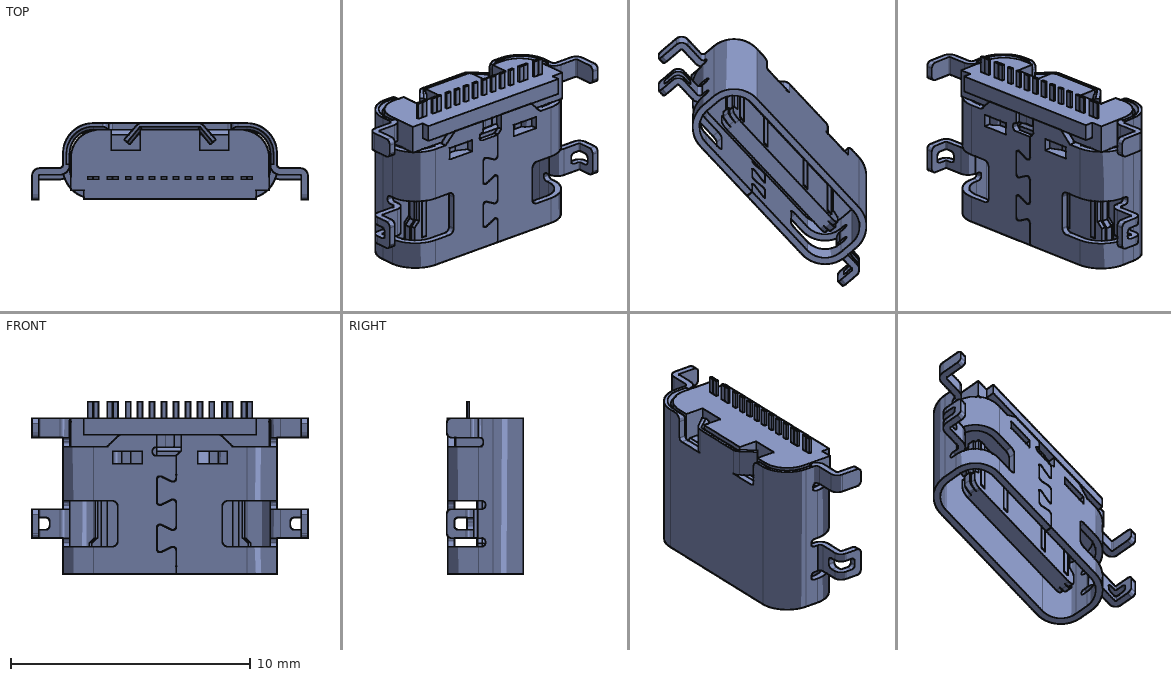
import cadquery as cq

SHELL_WIDTH = 8.95
SHELL_DEPTH = 3.16
SHELL_HEIGHT = 6.51
SHELL_RADIUS = 1.28
SHEET = 0.29
RIM_CHAMFER = 0.14
HALF_WIDTH = SHELL_WIDTH / 2
BACK = SHELL_DEPTH / 2
FRONT = -BACK
INNER_HALF_WIDTH = HALF_WIDTH - SHEET
INNER_BACK = BACK - SHEET
INNER_FRONT = FRONT + SHEET

FRONT_TOP = 5.32
TAB_TOP = 5.83
TAB_BASE_HALF = 2.63
TAB_TIP_HALF = 2.1

LEG_REACH = 5.77
LEG_TIP_Y = -1.63
LEG_TIP_RADIUS = 0.21
WALL_BEND = 0.14
FOOT_BEND = 0.05
LEG_OVERLAP = 0.02
UPPER_LEG_Y = -0.3
UPPER_LEG_BOTTOM = 5.7
LOWER_LEG_Y = -0.5
LOWER_LEG_BOTTOM = 1.5
LOWER_LEG_TOP = 2.71
LEG_HOLE_WIDTH = 0.51
LEG_HOLE_X = 5.03
LEG_HOLE_Y = -1.3
LEG_HOLE_RADIUS = 0.17

WINDOW_BOTTOM = 1.14
WINDOW_TOP = 3.06
WINDOW_EDGE_X = 2.18
WINDOW_RADIUS = 0.24
UPPER_RELIEF_END = -0.09
LOWER_RELIEF_END = 0.0
RELIEF_END_RADIUS = 0.16

PORT_X = 1.78
PORT_WIDTH = 1.23
PORT_BOTTOM = 4.6
PORT_TOP = 5.12
PORT_BED_X = 1.83
PORT_BED_DEPTH = 0.23
PORT_BED_HALF = 0.18

SEAM_GAP = 0.017
SEAM_RIGHT = 0.25
SEAM_LEFT = -0.55
SEAM_RADIUS = 0.14
SEAM_SLANT = 0.39
SEAM_STEPS = (1.02, 1.96, 2.99, 3.98)
RELIEF_RIGHT = 0.46
RELIEF_LEFT = -0.74
RELIEF_BOTTOM = 4.94
RELIEF_TOP = 5.3
RELIEF_RADIUS = 0.16
LEDGE_FRONT = -1.37
LEDGE_BEVEL_BOTTOM = 5.12
KEY_RAMP_X = -0.21
KEY_RIGHT = 0.18
KEY_FRONT = -1.33
KEY_RAMP_FRONT = -1.4
KEY_RADIUS = 0.07

NOTCH_HALF = 2.55
NOTCH_BOTTOM = 5.32
NOTCH_TOP_RADIUS = 0.29
NOTCH_CORNER_RADIUS = 0.14
STRAP_TOP = 6.43
STRAP_HALF = 1.3
WING_OUTER = (1.92, 0.89)
WING_INNER = (1.68, 0.68)
STRAP_INNER_HALF = 1.18
STRAP_BEND = 0.35

BODY_HALF = 4.14
BODY_RADIUS = 1.15
BODY_BOTTOM = 4.15
BODY_FRONT = -1.23
FLANGE_HALF = 3.6
FLANGE_FRONT = -1.6
POCKET_INNER = 1.23
POCKET_OUTER = 2.46
POCKET_FRONT = 0.44
POCKET_SILL_Y = 1.1
POCKET_SILL_DROP = 0.15

PIN_TOP = 7.2
PIN_Y = -0.73
PIN_THICK = 0.1
PIN_WIDTH = 0.22
SINGLE_PINS = 8
SINGLE_PIN_SPAN = 3.5
PITCH = SINGLE_PIN_SPAN / (SINGLE_PINS - 1)
PAIR_GAP = 0.02
PAIR_CENTRES = (2.4, 3.21)

TONGUE_TIP = 0.33
TONGUE_TIP_RADIUS = 0.35
TONGUE_TIP_HALF = 3.37
TONGUE_NECK_HALF = 3.12
LATCH_EDGE = 1.29
LATCH_SLOPE = 0.24
TONGUE_STEP = 0.1
PLATE_HALF_THICK = 0.14
TONGUE_HALF_THICK = 0.33
CONTACT_RAISE = 0.02
CONTACT_WIDTH = 0.24
CONTACT_BOTTOM = 0.74
CONTACT_STEPS = (-5.5, -2.5, 2.5, 5.5)


def block(x0, x1, y0, y1, z0, z1):
    return cq.Workplane("XY").box(x1 - x0, y1 - y0, z1 - z0, centered=False).translate((x0, y0, z0))


def front_prism(points, y0, y1):
    """Extrude an outline given as (x, z) from y0 to y1."""
    return cq.Workplane("XZ", origin=(0, y1, 0)).polyline(points).close().extrude(y1 - y0)


def round_upright(solid, x, y, z, radius):
    """Round the upright edge nearest to a point."""
    return solid.edges(cq.selectors.NearestToPointSelector((x, y, z))).fillet(radius)


def both_sides(solid):
    """Join a solid with its mirror image across x = 0."""
    return solid.union(solid.mirror("YZ"))


def shell_tube():
    outer = cq.Workplane("XY").rect(SHELL_WIDTH, SHELL_DEPTH).extrude(SHELL_HEIGHT)
    outer = outer.edges("|Z").fillet(SHELL_RADIUS)
    bore = cq.Workplane("XY").rect(2 * INNER_HALF_WIDTH, 2 * INNER_BACK).extrude(SHELL_HEIGHT)
    bore = bore.edges("|Z").fillet(SHELL_RADIUS - SHEET)
    tube = outer.cut(bore)
    inner_rim = tube.faces(">Z").val().innerWires()[0]
    return tube.newObject(inner_rim.Edges()).chamfer(RIM_CHAMFER)


def relief_slots(z0, z1, end, front):
    """Slots through both side walls with a round rear end."""
    slot = block(BODY_HALF, HALF_WIDTH, front, end, z0, z1)
    return both_sides(slot.edges("|X and >Y").fillet(RELIEF_END_RADIUS))


def side_windows():
    """Windows running from the front wall round the corner into each side wall."""
    rear = LOWER_LEG_Y + WALL_BEND
    opening = block(WINDOW_EDGE_X, HALF_WIDTH, FRONT, rear, WINDOW_BOTTOM, WINDOW_TOP)
    return both_sides(opening.edges("|Y and <X").fillet(WINDOW_RADIUS))


def leg(top_y, z0, z1):
    """Right-hand leg: out of the side wall, outward, then forward to the tip."""
    under_y = top_y - SHEET
    inner_x = LEG_REACH - SHEET
    mid_z = (z0 + z1) / 2
    root_y = top_y + WALL_BEND + LEG_OVERLAP
    outline = [
        (HALF_WIDTH, root_y),
        (HALF_WIDTH, top_y),
        (LEG_REACH, top_y),
        (LEG_REACH, LEG_TIP_Y),
        (inner_x, LEG_TIP_Y),
        (inner_x, under_y),
        (INNER_HALF_WIDTH, under_y),
        (INNER_HALF_WIDTH, root_y),
    ]
    strip = cq.Workplane("XY").workplane(offset=z0).polyline(outline).close().extrude(z1 - z0)
    strip = round_upright(strip, HALF_WIDTH, top_y, mid_z, WALL_BEND)
    strip = round_upright(strip, LEG_REACH, top_y, mid_z, FOOT_BEND + SHEET)
    strip = round_upright(strip, inner_x, under_y, mid_z, FOOT_BEND)
    strip = round_upright(strip, INNER_HALF_WIDTH, under_y, mid_z, WALL_BEND + SHEET)
    return strip.faces("<Y").edges("|X").fillet(LEG_TIP_RADIUS)


def leg_hole():
    """Hole running round the bend of a lower leg."""
    mid_z = (LOWER_LEG_BOTTOM + LOWER_LEG_TOP) / 2
    z0 = mid_z - LEG_HOLE_WIDTH / 2
    z1 = mid_z + LEG_HOLE_WIDTH / 2
    hole = block(LEG_HOLE_X, LEG_REACH, LEG_HOLE_Y, LOWER_LEG_Y, z0, z1)
    return hole.edges("(|Y and <X) or (|X and <Y)").fillet(LEG_HOLE_RADIUS)


def seam():
    """Thin gap following the dovetailed joint in the front wall."""
    left_part = [(-HALF_WIDTH, 0), (SEAM_RIGHT, 0)]
    x, next_x = SEAM_RIGHT, SEAM_LEFT
    for z in SEAM_STEPS:
        left_part += [(x, z + SEAM_SLANT / 2), (next_x, z - SEAM_SLANT / 2)]
        x, next_x = next_x, x
    left_part += [(SEAM_RIGHT, SHELL_HEIGHT), (-HALF_WIDTH, SHELL_HEIGHT)]
    side = front_prism(left_part, FRONT, INNER_FRONT)
    corners = cq.selectors.BoxSelector(
        (SEAM_LEFT - 0.12, FRONT - 0.12, 0.12), (SEAM_RIGHT + 0.12, INNER_FRONT + 0.12, RELIEF_BOTTOM))
    side = side.edges("|Y").edges(corners).fillet(SEAM_RADIUS)
    wider = side.faces("<Y").wires().toPending().workplane().offset2D(SEAM_GAP)
    return wider.extrude(-SHEET).cut(side)


def seam_relief():
    notch = block(SEAM_LEFT, RELIEF_RIGHT, FRONT, INNER_FRONT, RELIEF_BOTTOM, TAB_TOP)
    slot = block(RELIEF_LEFT, RELIEF_RIGHT, FRONT, INNER_FRONT, RELIEF_BOTTOM, RELIEF_TOP)
    slot = slot.edges("|Y and <X").fillet(RELIEF_RADIUS)
    corner = RELIEF_RIGHT - SEAM_RIGHT
    relief = notch.union(slot)
    return relief.edges("|Y and >X and <Z").chamfer(corner)


def seam_backing():
    """Bevelled ledge and ramped key of the body that show through the seam relief."""
    profile = [
        (INNER_FRONT, RELIEF_BOTTOM),
        (LEDGE_FRONT, RELIEF_BOTTOM),
        (LEDGE_FRONT, LEDGE_BEVEL_BOTTOM),
        (INNER_FRONT, RELIEF_TOP),
    ]
    ledge = cq.Workplane("YZ", origin=(SEAM_LEFT, 0, 0)).polyline(profile).close()
    ledge = ledge.extrude(RELIEF_RIGHT - SEAM_LEFT)
    key_outline = [
        (SEAM_LEFT, INNER_FRONT),
        (SEAM_LEFT, KEY_RAMP_FRONT),
        (KEY_RAMP_X, KEY_FRONT),
        (KEY_RIGHT, KEY_FRONT),
        (KEY_RIGHT, INNER_FRONT),
    ]
    key = cq.Workplane("XY").workplane(offset=RELIEF_TOP).polyline(key_outline).close()
    key = key.extrude(TAB_TOP - RELIEF_TOP).edges("|Y and >X").fillet(KEY_RADIUS)
    return ledge.union(key)


def back_notch():
    """Notch in the back wall with filleted lower corners and flared upper corners."""
    flare = NOTCH_HALF + NOTCH_TOP_RADIUS
    notch = block(-NOTCH_HALF, NOTCH_HALF, 0, BACK, NOTCH_BOTTOM, SHELL_HEIGHT)
    notch = notch.edges("|Y and <Z").fillet(NOTCH_CORNER_RADIUS)
    flares = block(-flare, flare, 0, BACK, SHELL_HEIGHT - NOTCH_TOP_RADIUS, SHELL_HEIGHT)
    for side in (-1, 1):
        rounding = cq.Workplane("XZ").center(side * flare, SHELL_HEIGHT - NOTCH_TOP_RADIUS)
        flares = flares.cut(rounding.circle(NOTCH_TOP_RADIUS).extrude(-BACK))
    return notch.union(flares)


def strap():
    """Centre of the back wall above the notch, its ends bent inward as wings."""
    right = [(STRAP_HALF, BACK), WING_OUTER, WING_INNER, (STRAP_INNER_HALF, INNER_BACK)]
    left = [(-x, y) for x, y in reversed(right)]
    height = STRAP_TOP - NOTCH_BOTTOM
    outline = cq.Workplane("XY").workplane(offset=NOTCH_BOTTOM).polyline(right + left).close()
    bar = outline.extrude(height)
    for side in (-1, 1):
        bar = round_upright(bar, side * STRAP_HALF, BACK, NOTCH_BOTTOM + height / 2, STRAP_BEND)
    wing_x = (WING_INNER[0] + STRAP_INNER_HALF) / 2
    wing_y = (WING_INNER[1] + INNER_BACK) / 2
    inner_edges = [(-wing_x, wing_y), (0, INNER_BACK), (wing_x, wing_y)]
    rim = bar.newObject([])
    for x, y in inner_edges:
        rim = rim.add(bar.edges(cq.selectors.NearestToPointSelector((x, y, STRAP_TOP))))
    return rim.chamfer(RIM_CHAMFER)


def shell():
    tab = front_prism(
        [
            (-TAB_BASE_HALF, FRONT_TOP),
            (-TAB_TIP_HALF, TAB_TOP),
            (TAB_TIP_HALF, TAB_TOP),
            (TAB_BASE_HALF, FRONT_TOP),
        ], FRONT, INNER_FRONT)
    ports = both_sides(block(PORT_X - PORT_WIDTH / 2, PORT_X + PORT_WIDTH / 2,
                             FRONT, INNER_FRONT, PORT_BOTTOM, PORT_TOP))
    sheet = shell_tube()
    sheet = sheet.cut(block(-HALF_WIDTH, HALF_WIDTH, FRONT, UPPER_LEG_Y, FRONT_TOP, SHELL_HEIGHT))
    sheet = sheet.cut(back_notch())
    sheet = sheet.cut(relief_slots(FRONT_TOP, UPPER_LEG_BOTTOM, UPPER_RELIEF_END, UPPER_LEG_Y))
    sheet = sheet.cut(relief_slots(LOWER_LEG_TOP, WINDOW_TOP, LOWER_RELIEF_END, LOWER_LEG_Y))
    sheet = sheet.cut(relief_slots(WINDOW_BOTTOM, LOWER_LEG_BOTTOM, LOWER_RELIEF_END, LOWER_LEG_Y))
    sheet = sheet.cut(side_windows()).union(tab).union(strap())
    sheet = sheet.cut(ports).cut(seam_relief()).cut(seam())
    upper_leg = leg(UPPER_LEG_Y, UPPER_LEG_BOTTOM, SHELL_HEIGHT)
    lower_leg = leg(LOWER_LEG_Y, LOWER_LEG_BOTTOM, LOWER_LEG_TOP).cut(leg_hole())
    return sheet.union(both_sides(upper_leg)).union(both_sides(lower_leg))


def port_bed():
    """Channel in the body behind a small front window: a ramp, a flat bed and a rounded lip."""
    inner_x = PORT_X - PORT_WIDTH / 2
    outer_x = PORT_X + PORT_WIDTH / 2
    bed_y = INNER_FRONT + PORT_BED_DEPTH
    lip_width = outer_x - PORT_BED_X - PORT_BED_HALF
    lip_radius = (lip_width**2 + PORT_BED_DEPTH**2) / (2 * PORT_BED_DEPTH)
    outline = (
        cq.Workplane("XY").workplane(offset=PORT_BOTTOM)
        .moveTo(inner_x, INNER_FRONT)
        .lineTo(PORT_BED_X - PORT_BED_HALF, bed_y)
        .lineTo(PORT_BED_X + PORT_BED_HALF, bed_y)
        .radiusArc((outer_x, INNER_FRONT), -lip_radius)
        .close()
    )
    return outline.extrude(PORT_TOP - PORT_BOTTOM)


def pocket():
    """Wing pocket, open at the top and back, with a bevelled sill."""
    profile = [
        (POCKET_FRONT, NOTCH_BOTTOM),
        (POCKET_SILL_Y, NOTCH_BOTTOM),
        (INNER_BACK, NOTCH_BOTTOM - POCKET_SILL_DROP),
        (INNER_BACK, SHELL_HEIGHT),
        (POCKET_FRONT, SHELL_HEIGHT),
    ]
    outline = cq.Workplane("YZ", origin=(POCKET_INNER, 0, 0)).polyline(profile).close()
    return outline.extrude(POCKET_OUTER - POCKET_INNER)


def body():
    core = block(-BODY_HALF, BODY_HALF, BODY_FRONT, INNER_BACK, BODY_BOTTOM, SHELL_HEIGHT)
    core = core.edges("|Z and >Y").fillet(BODY_RADIUS)
    lower = block(-BODY_HALF, BODY_HALF, INNER_FRONT, INNER_BACK, BODY_BOTTOM, FRONT_TOP)
    lower = lower.edges("|Z").fillet(BODY_RADIUS)
    upper = core.intersect(block(-BODY_HALF, BODY_HALF, FRONT, BACK, FRONT_TOP, SHELL_HEIGHT))
    flange = block(-FLANGE_HALF, FLANGE_HALF, FLANGE_FRONT, 0, TAB_TOP, SHELL_HEIGHT)
    filler = block(-TAB_TIP_HALF, TAB_TIP_HALF, INNER_FRONT, 0, FRONT_TOP, TAB_TOP)
    solid = lower.union(upper).union(flange).union(filler)
    return solid.cut(both_sides(pocket())).cut(both_sides(port_bed()))


def pins():
    single = [PITCH * (i + 0.5) for i in range(SINGLE_PINS // 2)]
    pair_offset = (PIN_WIDTH + PAIR_GAP) / 2
    paired = [centre + side * pair_offset for centre in PAIR_CENTRES for side in (-1, 1)]
    row = [(side * x, PIN_Y) for x in single + paired for side in (-1, 1)]
    base = cq.Workplane("XY").workplane(offset=TAB_TOP).pushPoints(row)
    return base.rect(PIN_WIDTH, PIN_THICK).extrude(PIN_TOP - TAB_TOP)


def tongue_layer(half_thick, step):
    """Tongue outline with latch notches, its edges set in by step."""
    tip = TONGUE_TIP_HALF - step
    neck = TONGUE_NECK_HALF - step
    right = [
        (tip, TONGUE_TIP),
        (tip, LATCH_EDGE),
        (neck, LATCH_EDGE + LATCH_SLOPE),
        (neck, BODY_BOTTOM),
    ]
    left = [(-x, z) for x, z in reversed(right)]
    layer = front_prism(right + left, -half_thick, half_thick)
    return layer.faces("<Z").edges("|Y").fillet(TONGUE_TIP_RADIUS)


def tongue():
    plate = tongue_layer(PLATE_HALF_THICK, 0)
    pads = tongue_layer(TONGUE_HALF_THICK, TONGUE_STEP)
    raised = TONGUE_HALF_THICK + CONTACT_RAISE
    blade = plate.union(pads)
    for step in CONTACT_STEPS:
        x = step * PITCH
        blade = blade.union(block(x - CONTACT_WIDTH / 2, x + CONTACT_WIDTH / 2,
                                  -raised, raised, CONTACT_BOTTOM, BODY_BOTTOM))
    return blade


result = body().union(seam_backing()).union(shell()).union(pins()).union(tongue())